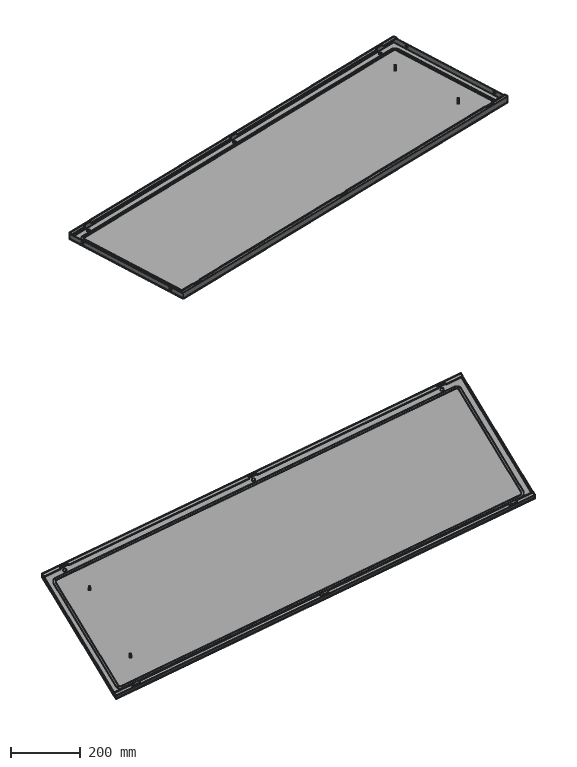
import cadquery as cq

width = 446.0
length = 1361.0
height = 22.0
sheet = 1.2
end_wall_height = height - 3.4
lip_width = 12.1
lip_return = 3.0

screw_hole_radius = 4.6
screw_hole_x = width / 2 - 11.6
screw_hole_spacing = 612.0
notch_length = 26.0
notch_depth = 7.0

plug_radius = 4.2
plug_spacing = 343.0
plug_z = 10.2

gasket_outer_width = 403.0
gasket_outer_length = 1323.0
bead_width = 7.1
bead_flank = 2.0
bead_crown = 1.0
gasket_corner_radius = 10.3

stud_spacing = 246.0
stud_y = 580.0
stud_radius = 3.0
stud_height = 16.0
collar_radius = 3.4
collar_height = 5.0

SIDES = (-1, 1)


def block(size_x, size_y, size_z, x=0, y=0, z=0):
    """Block centred on x and y, standing on z."""
    return cq.Workplane("XY", origin=(x, y, z)).box(size_x, size_y, size_z, centered=(True, True, False))


def plug_cylinder(side_x, side_y):
    """Cylinder that runs through the thickness of an end wall."""
    outer_face = length / 2 if side_y > 0 else -(length / 2 - sheet)
    origin = (side_x * plug_spacing / 2, outer_face, plug_z)
    return cq.Workplane("XZ", origin=origin).circle(plug_radius).extrude(sheet)


def make_lip(side):
    """Inward lip along one long wall, with its edge turned down."""
    edge_x = width / 2 - lip_width
    flange = block(lip_width, length, sheet, x=side * (edge_x + lip_width / 2), z=height - sheet)
    turned_edge = block(sheet, length, lip_return, x=side * (edge_x + sheet / 2), z=height - lip_return)
    return flange.union(turned_edge)


def lip_notch(side, y):
    """Cutter that opens the lip above a screw hole."""
    x = side * (width / 2 - lip_width + notch_depth / 2)
    return block(notch_depth, notch_length, lip_return, x=x, y=y, z=height - lip_return)


def screw_hole(side, y):
    return cq.Workplane("XY", origin=(side * screw_hole_x, y, 0)).circle(screw_hole_radius).extrude(sheet)


def make_pan():
    inner_width = width - 2 * sheet
    inner_length = length - 2 * sheet
    pan = block(width, length, height)
    pan = pan.cut(block(inner_width, inner_length, height, z=sheet))
    pan = pan.cut(block(inner_width, length, height, z=end_wall_height))
    for side in SIDES:
        pan = pan.union(make_lip(side))
        for row in (-1, 0, 1):
            y = row * screw_hole_spacing
            pan = pan.cut(lip_notch(side, y)).cut(screw_hole(side, y))
        for end in SIDES:
            pan = pan.cut(plug_cylinder(side, end))
    return pan


def make_gasket():
    """Bead with upright flanks and a rounded crown, swept around a rounded rectangle."""
    path_width = gasket_outer_width - bead_width
    path_length = gasket_outer_length - bead_width
    half_bead = bead_width / 2
    rounded_plate = block(path_width, path_length, sheet, z=sheet).edges("|Z").fillet(gasket_corner_radius)
    path = cq.Workplane(rounded_plate.faces("<Z").wires().val())
    profile = (
        cq.Workplane("XZ", origin=(-path_width / 2, 0, sheet))
        .moveTo(-half_bead, 0)
        .lineTo(-half_bead, bead_flank)
        .threePointArc((0, bead_flank + bead_crown), (half_bead, bead_flank))
        .lineTo(half_bead, 0)
        .close()
    )
    return profile.sweep(path)


def make_stud(side):
    """Round stud with a collar at its foot."""
    foot = cq.Workplane("XY", origin=(side * stud_spacing / 2, stud_y, sheet))
    collar = foot.circle(collar_radius).extrude(collar_height)
    pin = foot.circle(stud_radius).extrude(stud_height)
    return collar.union(pin)


pan = make_pan()
gasket = make_gasket()
studs = [make_stud(side).val() for side in SIDES]
plugs = [plug_cylinder(side, end).val() for side in SIDES for end in SIDES]

result = cq.Compound.makeCompound([pan.val(), gasket.val(), *studs, *plugs])